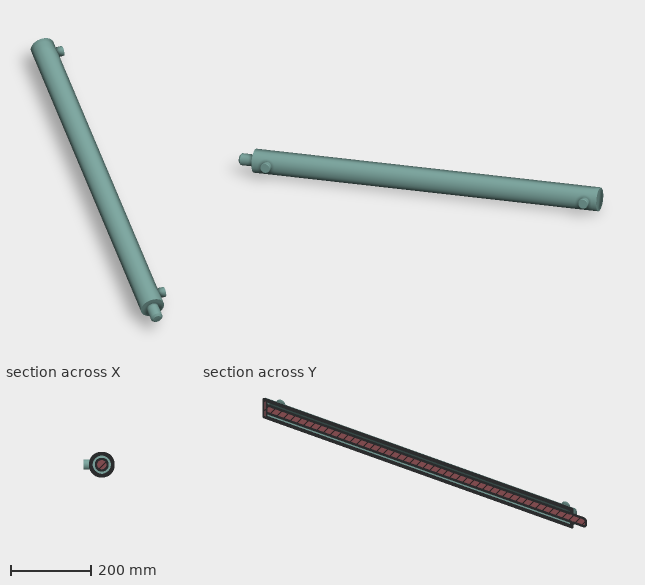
import cadquery as cq

total_length = 940.0
barrel_diameter = 60.0
bore_diameter = 50.0

cap_thickness = 9.0
cap_chamfer = 1.0
gland_thickness = 5.0
ring_thickness = 2.0
gland_end_x = 900.5
gland_start_x = gland_end_x - gland_thickness
tube_end_x = gland_start_x - ring_thickness
tube_length = tube_end_x - cap_thickness

rod_diameter = 30.0
rod_chamfer = 5.0
rod_length = total_length - cap_thickness

port_diameter = 25.0
port_top_y = 45.0
port_chamfer_height = 2.0
port_chamfer_depth = 1.0
port_base_y = 29.0
port_positions_x = (30.0, 860.0)


def cylinder_along_x(start_x, length, diameter):
    return cq.Workplane("YZ").workplane(offset=start_x).circle(diameter / 2).extrude(length)


def make_end_cap():
    """Disc closing the barrel, with a chamfered outer end."""
    return cylinder_along_x(0, cap_thickness, barrel_diameter).faces("<X").chamfer(cap_chamfer)


def make_tube():
    """Hollow barrel between the end cap and the ring."""
    barrel = cylinder_along_x(cap_thickness, tube_length, barrel_diameter)
    return barrel.cut(cylinder_along_x(cap_thickness, tube_length, bore_diameter))


def make_ring():
    """Thin ring between the tube and the gland."""
    ring = cylinder_along_x(tube_end_x, ring_thickness, barrel_diameter)
    return ring.cut(cylinder_along_x(tube_end_x, ring_thickness, bore_diameter))


def make_gland():
    """Disc with a hole that guides the rod."""
    disc = cylinder_along_x(gland_start_x, gland_thickness, barrel_diameter)
    return disc.cut(cylinder_along_x(gland_start_x, gland_thickness, rod_diameter))


def make_rod():
    """Rod resting on the end cap and passing out through the gland."""
    return cylinder_along_x(cap_thickness, rod_length, rod_diameter).faces(">X").chamfer(rod_chamfer)


def make_port(center_x):
    """Round boss narrowing to a neck that is saddled to the outside of the barrel."""
    base = cq.Workplane("XZ", origin=(center_x, port_base_y, 0))
    boss = base.circle(port_diameter / 2).extrude(port_base_y - port_top_y)
    boss = boss.faces(">Y").chamfer(port_chamfer_height, port_chamfer_depth)
    boss = boss.faces("<Y").chamfer(port_chamfer_height, port_chamfer_depth)
    neck = base.circle(port_diameter / 2 - port_chamfer_depth).extrude(port_base_y)
    boss = boss.union(neck)
    return boss.cut(cylinder_along_x(0, gland_end_x, barrel_diameter))


end_cap = make_end_cap()
tube = make_tube()
ring = make_ring()
gland = make_gland()
rod = make_rod()
ports = [make_port(center_x) for center_x in port_positions_x]

result = cq.Compound.makeCompound(
    [end_cap.val(), tube.val(), ring.val(), gland.val(), rod.val(), *[port.val() for port in ports]]
)